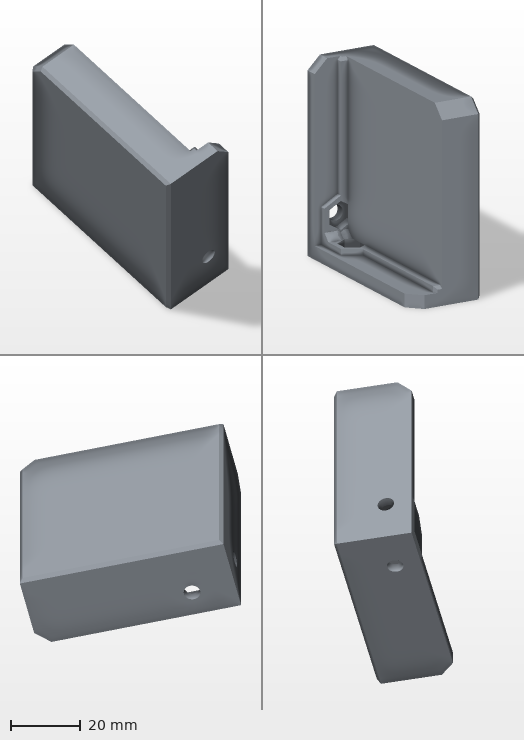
import cadquery as cq
import math

side = 60.0
depth = 23.0
slab_depth = 13.0
wall = 4.15
corner_cut = 4.15
front_chamfer = 1.0

pad_top = 6.05
pad_chamfer = 0.95
hole_center_x = 47.35
hole_center_y = slab_depth + 2.4
pad_back_y = 20.8
pad_slope_start = 41.35
pad_slope_run = (pad_back_y - hole_center_y) / math.tan(math.radians(60))

hole_diameter = 4.8
nut_corner_diameter = 8.75
nut_floor = 3.0

gusset_leg = 2.2
notch_half_width = 1.55
notch_half_length = 5.15
notch_depth = 0.55


def across_corner(shape):
    """Mirror a bottom-wall shape onto the +X wall (swaps the two walls)."""
    return shape.mirror(cq.Vector(1, 0, 1), (side, 0, 0))


def make_slab():
    slab = cq.Workplane("XY").box(side, slab_depth, side, centered=False)
    slab = slab.edges("|Y and <X and >Z").chamfer(corner_cut)
    return slab.faces("<Y").chamfer(front_chamfer)


def make_wall():
    """Bottom wall, with its free end bevelled at the back."""
    return (
        cq.Workplane("XY")
        .moveTo(0, slab_depth)
        .lineTo(side, slab_depth)
        .lineTo(side, depth)
        .lineTo(corner_cut, depth)
        .lineTo(0, depth - corner_cut)
        .close()
        .extrude(wall)
    )


def make_pad():
    """Narrow ledge that widens around the nut pocket."""
    pad = (
        cq.Workplane("XY")
        .moveTo(0, slab_depth)
        .lineTo(0, hole_center_y)
        .lineTo(pad_slope_start, hole_center_y)
        .lineTo(pad_slope_start + pad_slope_run, pad_back_y)
        .lineTo(side, pad_back_y)
        .lineTo(side, slab_depth)
        .close()
        .extrude(pad_top)
    )
    return pad.faces("<X").edges(">Y or >Z").chamfer(pad_chamfer)


def make_gusset():
    corner_x = side - pad_top
    gusset = (
        cq.Workplane("XZ", origin=(0, pad_back_y, 0))
        .moveTo(corner_x, pad_top)
        .lineTo(corner_x - gusset_leg, pad_top)
        .lineTo(corner_x, pad_top + gusset_leg)
        .close()
        .extrude(pad_back_y - slab_depth)
    )
    slope_middle = (corner_x - gusset_leg / 2, hole_center_y, pad_top + gusset_leg / 2)
    slope_plane = cq.Plane(origin=slope_middle, xDir=(0, 1, 0), normal=(-1, 0, 1))
    base = [
        cq.Vector(notch_half_width, 0, 0),
        cq.Vector(0, notch_half_length, 0),
        cq.Vector(-notch_half_width, 0, 0),
        cq.Vector(0, -notch_half_length, 0),
    ]
    apex = cq.Vector(0, 0, -notch_depth)
    faces = [cq.Face.makeFromWires(cq.Wire.makePolygon(base, close=True))]
    for start, end in zip(base, base[1:] + base[:1]):
        faces.append(cq.Face.makeFromWires(cq.Wire.makePolygon([start, end, apex], close=True)))
    notch = cq.Solid.makeSolid(cq.Shell.makeShell(faces))
    return gusset.cut(cq.Workplane(notch.moved(cq.Location(slope_plane))))


def make_nut_cut():
    """Through hole in the bottom wall with a hexagonal pocket above it."""
    hole = cq.Workplane("XY").center(hole_center_x, hole_center_y).circle(hole_diameter / 2).extrude(pad_top)
    pocket = (
        cq.Workplane("XY", origin=(hole_center_x, hole_center_y, nut_floor))
        .polygon(6, nut_corner_diameter)
        .extrude(pad_top - nut_floor)
    )
    return hole.union(pocket)


bottom_wall = make_wall().union(make_pad())
nut_cut = make_nut_cut()

result = make_slab().union(bottom_wall).union(across_corner(bottom_wall))
result = result.union(make_gusset())
result = result.cut(nut_cut).cut(across_corner(nut_cut))